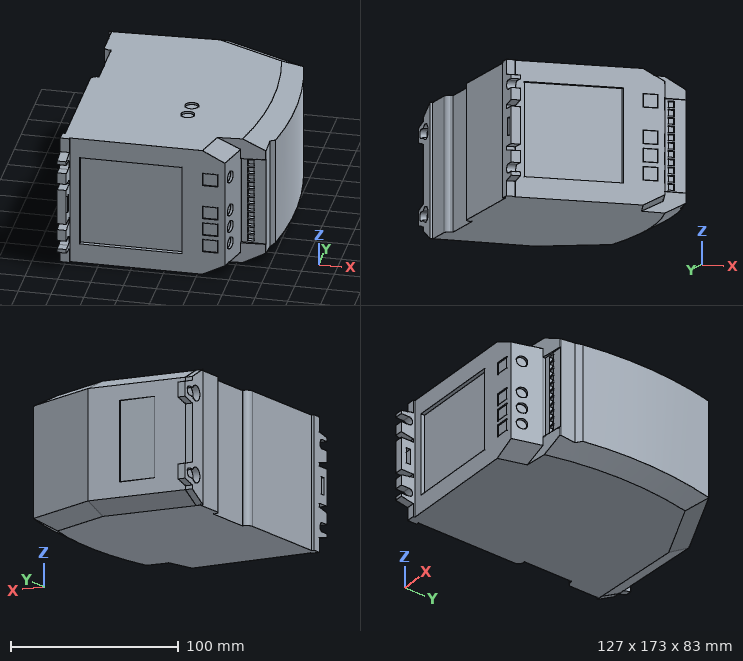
import cadquery as cq
import math


width = 83.0
half_width = width / 2
back_x = 1.7
bottom_y = 10.2
top_peak = (69.5, 167.1)
top_edge_slope = 0.043
top_front_y = 143.2
ledge_tip = (120.7, 31.1)
ledge_root = (105.7, 30.0)
ledge_slope = (ledge_tip[1] - ledge_root[1]) / (ledge_tip[0] - ledge_root[0])
panel_front_x = 100.2
front_apex = (127.0, 86.5)
front_radius = 245.6
chamfer_depth = 7.1
chamfer_reach = 13.1

trim_margin = 27.7

relief_x = 120.9
relief_bevel_start_y = 42.2
relief_bevel_end = (123.7, 46.2)

rail_floor_x = 6.4
rail_low_y = 91.9
rail_high_y = 127.1
rail_low_radius = 4.0
rail_high_radius = 3.3

fixing_slot_width = 5.5

plate_thickness = 4.7
plate_low_y = 151.2
plate_high_y = 164.2
plate_tip_half_width = half_width - chamfer_depth
lug_z = 25.0
lug_high_y = 173.0
lug_root_width = 14.0
lug_tip_width = 9.2
keyhole_y = 159.7
keyhole_diameter = 9.5
keyhole_slot_end_y = 170.2

foot_thickness = 5.7
foot_strip_low_y = 9.0
foot_strip_high_y = 15.7
foot_root_z = (13.7, 32.3)
foot_tip_z = (15.4, 30.6)
foot_slot_z = 25.5
foot_slot_end_y = 8.5
latch_half_width = 11.5
latch_slot_y = (3.8, 6.7)
latch_slot_length = 10.7

display_x = (11.8, 74.0)
display_height = 57.8
display_depth = 2.6
key_x = (86.7, 95.8)
key_height = 8.1
key_depth = 0.9
key_pitch = 11.0
key_rows = (-2, -1, 0, 2)

socket_diameter = 7.3
socket_depth = 1.7
socket_x = 102.0

terminal_floor_y = 31.7
terminal_length = 56.5
terminal_count = 11
terminal_pitch = 5.0
terminal_size = 4.0
terminal_x = 111.5
terminal_depth = 2.6

top_bay_floor_y = 165.2
top_bay_end_x = 48.5
top_bay_length = 49.8

side_recess_x = 68.3
side_recess_y = (54.5, 66.3)
side_recess_diameter = 8.3
side_recess_depth = 1.4


def box(x_range, y_range, z_range):
    """Axis-aligned box between two limits on each axis."""
    size = [high - low for low, high in (x_range, y_range, z_range)]
    corner = (x_range[0], y_range[0], z_range[0])
    return cq.Workplane("XY").box(*size, centered=False).translate(corner)


def prism(outline):
    """XY outline extruded over the full width of the housing."""
    return outline.close().extrude(half_width, both=True)


def plate_prism(points, thickness):
    """YZ polygon extruded from X = 0 toward the housing."""
    return cq.Workplane("YZ").polyline(points).close().extrude(thickness)


def ledge_y(x):
    """Height of the ledge line, which splits the housing into an upper and a lower part."""
    return ledge_root[1] + ledge_slope * (x - ledge_root[0])


def top_edge_y(x):
    """Height of the gently rising top edge between the mounting plate and the peak."""
    return top_peak[1] + top_edge_slope * (x - top_peak[0])


def front_x(y):
    """X of the bulged front at a height, on a circle that is widest at its apex."""
    drop = y - front_apex[1]
    return front_apex[0] - front_radius + math.sqrt(front_radius ** 2 - drop ** 2)


def panel_slope_x(y):
    """X of the sloped face that rises from the bottom panel to the ledge."""
    return panel_front_x + (ledge_root[0] - panel_front_x) * (y - bottom_y) / (ledge_root[1] - bottom_y)


def chamfered_prism(outline):
    """Full-width prism of an XY outline whose rims are chamfered on both wide sides."""
    outline = outline.close()
    core_half_width = half_width - chamfer_depth
    core = outline.extrude(core_half_width, both=True)
    taper = math.degrees(math.atan2(chamfer_reach, chamfer_depth))
    cap = outline.toPending().extrude(chamfer_depth, taper=taper).translate((0, 0, core_half_width))
    return core.union(cap).union(cap.mirror("XY"))


def upper_housing():
    """Upper part; its blank overruns the unchamfered sides and is trimmed back to them."""
    blank_back = back_x - trim_margin
    blank_low = ledge_root[1] - trim_margin
    blank = chamfered_prism(
        cq.Workplane("XY")
        .moveTo(blank_back, blank_low)
        .lineTo(blank_back, top_edge_y(blank_back))
        .lineTo(*top_peak)
        .lineTo(front_x(top_front_y), top_front_y)
        .threePointArc(front_apex, (front_x(blank_low), blank_low))
    )
    far_x = front_apex[0] + trim_margin
    far_y = top_peak[1] + trim_margin
    keep = [
        (back_x, ledge_y(back_x)),
        (far_x, ledge_y(far_x)),
        (far_x, far_y),
        (plate_thickness, far_y),
        (plate_thickness, plate_low_y),
        (back_x, plate_low_y),
    ]
    return blank.intersect(prism(cq.Workplane("XY").polyline(keep)))


def lower_housing():
    """Lower part below the ledge, chamfered along its sloped face only."""
    low = bottom_y - trim_margin
    high = ledge_root[1] + trim_margin
    blank_back = back_x - trim_margin
    outline = [
        (blank_back, low),
        (panel_slope_x(low), low),
        (panel_slope_x(high), high),
        (blank_back, high),
    ]
    blank = chamfered_prism(cq.Workplane("XY").polyline(outline))
    far_x = ledge_root[0] + trim_margin
    keep = [(back_x, bottom_y), (far_x, bottom_y), (far_x, ledge_y(far_x)), (back_x, ledge_y(back_x))]
    return blank.intersect(prism(cq.Workplane("XY").polyline(keep)))


def front_relief():
    """Cutter for the flat and bevel at the lower end of the bulged front."""
    far_x = front_apex[0] + trim_margin
    slope = (relief_bevel_end[1] - relief_bevel_start_y) / (relief_bevel_end[0] - relief_x)
    far_y = relief_bevel_start_y + slope * (far_x - relief_x)
    outline = [(relief_x, 0), (relief_x, relief_bevel_start_y), (far_x, far_y), (far_x, 0)]
    return prism(cq.Workplane("XY").polyline(outline))


def rail_slot():
    """Cutter for the rail slot, flared at its mouth so that both lips are rounded."""
    return prism(
        cq.Workplane("XY")
        .moveTo(rail_floor_x, rail_low_y)
        .lineTo(back_x + rail_low_radius, rail_low_y)
        .radiusArc((back_x, rail_low_y - rail_low_radius), -rail_low_radius)
        .lineTo(back_x, rail_high_y + rail_high_radius)
        .radiusArc((back_x + rail_high_radius, rail_high_y), -rail_high_radius)
        .lineTo(rail_floor_x, rail_high_y)
    )


def upper_plate():
    """Mounting plate with sloped shoulders and two lugs."""
    plate = plate_prism(
        [
            (plate_low_y, -half_width),
            (plate_high_y, -plate_tip_half_width),
            (plate_high_y, plate_tip_half_width),
            (plate_low_y, half_width),
        ],
        plate_thickness,
    )
    for z in (-lug_z, lug_z):
        lug = [
            (plate_high_y, z - lug_root_width / 2),
            (lug_high_y, z - lug_tip_width / 2),
            (lug_high_y, z + lug_tip_width / 2),
            (plate_high_y, z + lug_root_width / 2),
        ]
        plate = plate.union(plate_prism(lug, plate_thickness))
    return plate


def keyholes():
    """Cutter for both keyholes: a round opening with a slot leading up from it."""
    slot_length = keyhole_slot_end_y - keyhole_y
    centers = [(keyhole_y, -lug_z), (keyhole_y, lug_z)]
    openings = cq.Workplane("YZ").pushPoints(centers).circle(keyhole_diameter / 2).extrude(plate_thickness)
    slots = (
        cq.Workplane("YZ")
        .pushPoints([(y + (slot_length - fixing_slot_width / 2) / 2, z) for y, z in centers])
        .slot2D(slot_length + fixing_slot_width / 2, fixing_slot_width)
        .extrude(plate_thickness)
    )
    return openings.union(slots)


def clip_feet():
    """Full-width strip with a slotted latch in the middle and a forked foot on each side."""
    feet = box((0, foot_thickness), (foot_strip_low_y, foot_strip_high_y), (-half_width, half_width))
    latch = box((0, foot_thickness), (0, foot_strip_low_y), (-latch_half_width, latch_half_width))
    feet = feet.union(latch)
    for side in (-1, 1):
        foot = [
            (foot_strip_low_y, side * foot_root_z[0]),
            (0, side * foot_tip_z[0]),
            (0, side * foot_tip_z[1]),
            (foot_strip_low_y, side * foot_root_z[1]),
        ]
        feet = feet.union(plate_prism(foot, foot_thickness))
    fork_slots = (
        cq.Workplane("YZ")
        .pushPoints([(0, -foot_slot_z), (0, foot_slot_z)])
        .slot2D(2 * foot_slot_end_y, fixing_slot_width)
        .extrude(foot_thickness)
    )
    half_slot = latch_slot_length / 2
    return feet.cut(fork_slots).cut(box((0, foot_thickness), latch_slot_y, (-half_slot, half_slot)))


def panel_recesses():
    """Cutter for the display window and the keys beside it."""
    half_display = display_height / 2
    recesses = box(display_x, (bottom_y, bottom_y + display_depth), (-half_display, half_display))
    for row in key_rows:
        z = row * key_pitch
        z_range = (z - key_height / 2, z + key_height / 2)
        recesses = recesses.union(box(key_x, (bottom_y, bottom_y + key_depth), z_range))
    return recesses


def sockets():
    """Cutter for the round sockets, sunk square to the sloped face."""
    run = ledge_root[0] - panel_front_x
    rise = ledge_root[1] - bottom_y
    inward = cq.Vector(-rise, run, 0)
    center_y = bottom_y + rise * (socket_x - panel_front_x) / run
    cutter = cq.Workplane("XY")
    for row in key_rows:
        center = cq.Vector(socket_x, center_y, row * key_pitch)
        cutter = cutter.add(cq.Solid.makeCylinder(socket_diameter / 2, socket_depth, center, inward))
    return cutter.combine()


def terminal_recess():
    """Cutter for the flat terminal bay in the ledge and its row of square terminals."""
    half_length = terminal_length / 2
    bay_y = (bottom_y, terminal_floor_y)
    cutter = box((ledge_root[0], front_apex[0]), bay_y, (-half_length, half_length))
    terminal_y = (terminal_floor_y, terminal_floor_y + terminal_depth)
    half_size = terminal_size / 2
    terminal_x_range = (terminal_x - half_size, terminal_x + half_size)
    for index in range(terminal_count):
        z = (index - (terminal_count - 1) / 2) * terminal_pitch
        cutter = cutter.union(box(terminal_x_range, terminal_y, (z - half_size, z + half_size)))
    return cutter


def top_bay():
    """Cutter for the bay in the top face; its floor is flat, so it deepens toward the peak."""
    half_length = top_bay_length / 2
    return box((back_x, top_bay_end_x), (top_bay_floor_y, top_peak[1]), (-half_length, half_length))


def side_recesses():
    """Cutter for the two shallow round recesses in the upper wide side."""
    return (
        cq.Workplane("XY", origin=(0, 0, half_width - side_recess_depth))
        .pushPoints([(side_recess_x, y) for y in side_recess_y])
        .circle(side_recess_diameter / 2)
        .extrude(side_recess_depth)
    )


upper = upper_housing().cut(front_relief()).cut(rail_slot())
upper = upper.cut(terminal_recess()).cut(top_bay())
lower = lower_housing().cut(panel_recesses()).cut(sockets())
housing = upper.union(lower).cut(side_recesses())
result = housing.union(upper_plate()).cut(keyholes()).union(clip_feet())